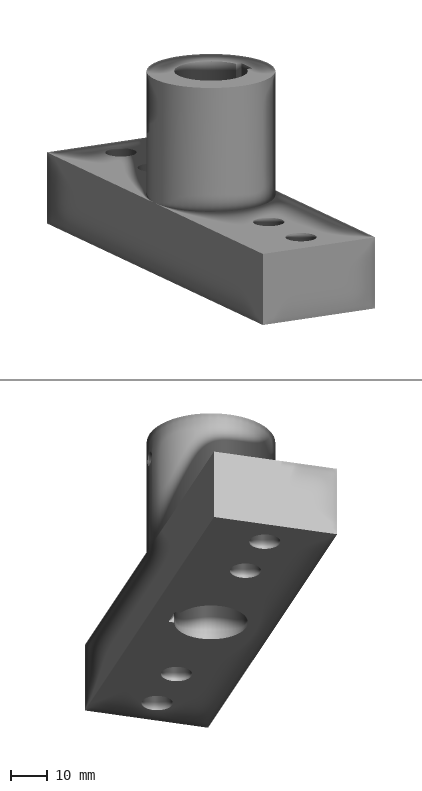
import cadquery as cq

length = 120.0
width = 35.0
base_height = 20.0
total_height = 55.0

hub_diameter = width
bore_diameter = 20.0
key_width = 6.0
key_top = 11.2

screw_diameter = 4.0
screw_below_top = 7.5

mount_diameter = 8.5
mount_offsets = (32.0, 50.0)


def body():
    bar = cq.Workplane("XY").box(length, width, base_height, centered=(True, True, False))
    hub = cq.Workplane("XY").circle(hub_diameter / 2).extrude(total_height)
    return bar.union(hub)


def keyed_bore():
    bore = cq.Workplane("XY").circle(bore_diameter / 2).extrude(total_height)
    key = cq.Workplane("XY").center(0, key_top / 2).rect(key_width, key_top).extrude(total_height)
    return bore.union(key)


def set_screw_hole():
    screw_height = total_height - screw_below_top
    return cq.Workplane("XZ").center(0, screw_height).circle(screw_diameter / 2).extrude(-width)


def mounting_holes():
    centers = [(side * offset, 0) for side in (-1, 1) for offset in mount_offsets]
    return cq.Workplane("XY").pushPoints(centers).circle(mount_diameter / 2).extrude(base_height)


result = body().cut(keyed_bore()).cut(set_screw_hole()).cut(mounting_holes())